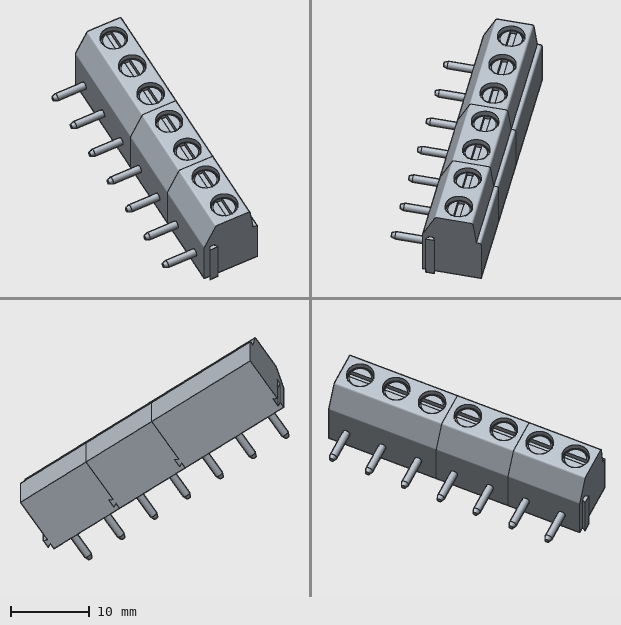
import cadquery as cq

total_length = 35.5
tongue_depth = 0.5
module_poles = [3, 2, 2]
pitch = (total_length - tongue_depth) / sum(module_poles)

depth = 7.67
height = 10.0
front_wall_height = 6.43
top_front_y = 1.7
ledge_height = 6.53
ledge_depth = 0.65
top_back_setback = 1.1
ledge_edge_radius = 0.32
top_edge_radius = 0.35
front_bend_radius = 0.43

dovetail_y = 1.15
dovetail_height = 6.2
dovetail_neck_width = 0.65
dovetail_tip_width = 1.17

screw_y = 4.2
recess_radius = 1.75
recess_depth = 0.57
screw_radius = 1.65
screw_chamfer = 0.2
slot_width = 0.85
slot_depth = 0.7

pin_z = 2.63
pin_radius = 0.5
pin_tip_radius = 0.3
pin_length = 4.55
pin_tip_length = 0.55


def housing_block(length):
    """Profiled block, with its four long upper edges rounded."""
    ledge_foot_y = depth - ledge_depth
    top_back_y = depth - top_back_setback
    block = (
        cq.Workplane("YZ")
        .polyline([
            (0, 0),
            (depth, 0),
            (depth, ledge_height),
            (ledge_foot_y, ledge_height),
            (top_back_y, height),
            (top_front_y, height),
            (0, front_wall_height),
        ])
        .close()
        .extrude(length)
    )
    rounded_corners = [
        (depth, ledge_height, ledge_edge_radius),
        (top_back_y, height, top_edge_radius),
        (top_front_y, height, top_edge_radius),
        (0, front_wall_height, front_bend_radius),
    ]
    for y, z, radius in rounded_corners:
        block = block.edges(cq.NearestToPointSelector((length / 2, y, z))).fillet(radius)
    return block


def dovetail(x):
    """Upright dovetail prism that widens towards +X from its neck at x."""
    neck = dovetail_neck_width / 2
    tip = dovetail_tip_width / 2
    return (
        cq.Workplane("XY")
        .polyline([
            (x, dovetail_y - neck),
            (x + tongue_depth, dovetail_y - tip),
            (x + tongue_depth, dovetail_y + tip),
            (x, dovetail_y + neck),
        ])
        .close()
        .extrude(dovetail_height)
    )


def screw_recess(x):
    """Round recess whose floor is a slotted screw head with a chamfered rim."""
    head_z = height - recess_depth
    recess = (
        cq.Workplane("YZ")
        .polyline([
            (0, height),
            (recess_radius, height),
            (recess_radius, head_z - screw_chamfer),
            (screw_radius, head_z - screw_chamfer),
            (screw_radius - screw_chamfer, head_z),
            (0, head_z),
        ])
        .close()
        .revolve(360, (0, 0, 0), (0, 1, 0))
    )
    slot = (
        cq.Workplane("XY")
        .workplane(offset=head_z - slot_depth)
        .rect(2 * screw_radius, slot_width)
        .extrude(slot_depth + recess_depth)
        .intersect(cq.Workplane("XY").circle(screw_radius).extrude(height))
    )
    return recess.union(slot).translate((x, screw_y, 0))


def solder_pin(x):
    """Round pin that leaves the front face towards -Y and ends in a tapered tip."""
    shank_end = pin_tip_length - pin_length
    return (
        cq.Workplane("YZ")
        .polyline([
            (0, 0),
            (0, pin_radius),
            (shank_end, pin_radius),
            (-pin_length, pin_tip_radius),
            (-pin_length, 0),
        ])
        .close()
        .revolve(360, (0, 0, 0), (1, 0, 0))
        .translate((x, 0, pin_z))
    )


def terminal_module(poles):
    """One module as a single solid: housing, joining dovetails, screws and pins."""
    length = poles * pitch
    module = housing_block(length).cut(dovetail(0)).union(dovetail(length))
    for pole in range(poles):
        pole_x = (pole + 0.5) * pitch
        module = module.cut(screw_recess(pole_x)).union(solder_pin(pole_x))
    return module


terminal_modules = []
module_start = 0
for poles in module_poles:
    terminal_modules.append(terminal_module(poles).translate((module_start, 0, 0)).val())
    module_start += poles * pitch

result = cq.Compound.makeCompound(terminal_modules)